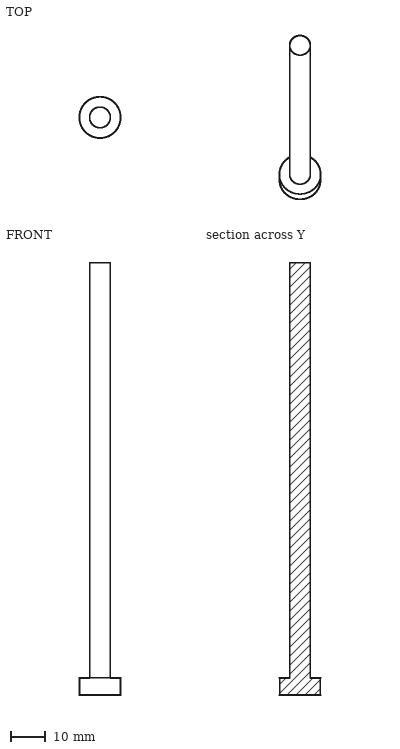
import cadquery as cq

total_length = 125.0
head_diameter = 12.0
head_height = 5.0
shank_diameter = 6.0

head = cq.Workplane("XY").circle(head_diameter / 2).extrude(head_height)

shank = cq.Workplane("XY").circle(shank_diameter / 2).extrude(total_length)

result = head.union(shank)